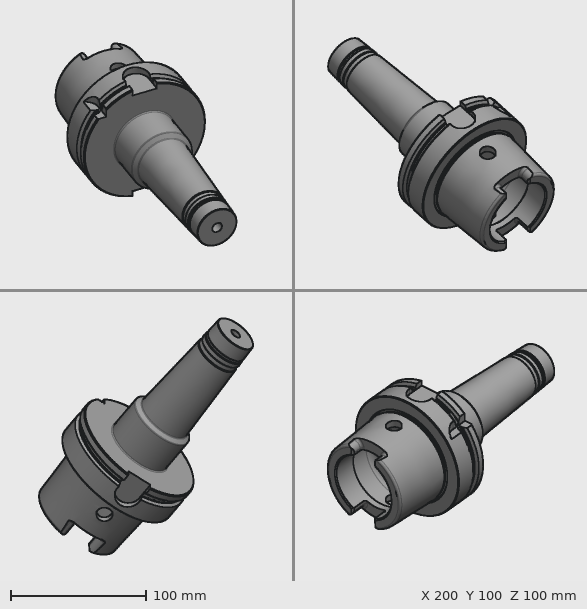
import cadquery as cq
import math

total_length = 200.0
shank_length = 50.0
flange_length = 29.0
shank_end = -shank_length
nose_end = total_length - shank_length

taper_diameter = 75.8
taper_ratio = 9.98
shank_round = 2.0
undercut_length = 2.0
undercut_depth = 0.8
undercut_into_face = 0.5
undercut_face_radius = 39.2

flange_diameter = 100.0
front_chamfer = 0.5
rear_chamfer = 0.8
groove_center = 20.0
groove_mouth_width = 6.5
groove_floor_width = 3.5
groove_floor_fillet = 0.5
groove_floor_diameter = 92.0
groove_flank_angle = 30.0

collar_diameter = 50.0
collar_end = 57.5
collar_chamfer_end = 60.2
collar_fillet = 0.8
nose_tip_diameter = 32.5
nose_half_angle = 3.0
tip_chamfer = 0.5
ring_groove_depth = 0.5
ring_grooves = ((126.8, 131.5), (135.2, 138.2))

bore_diameter = 53.0
bore_mouth_chamfer = 1.0
bore_lip_depth = 20.0
clamp_groove_diameter = 63.0
bore_floor_diameter = 50.0
bore_depth = 46.5
clamp_angle = 60.0
coolant_counterbore_diameter = 22.5
coolant_counterbore_depth = 10.0
coolant_hole_diameter = 8.0
radial_hole_diameter = 12.0
radial_hole_position = -15.0

slot_width = 20.0
slot_depths = ((1, 10.0), (-1, 14.5))
slot_flare_radius = 5.2
slot_flare_height = 26.8
slot_floor_fillet = 2.0
slot_mouth_chamfer = 1.5

keyway_width = 20.0
keyway_start = 4.8
keyway_floor = 44.0
notch_wall = 31.5

flange_radius = flange_diameter / 2


def nose_radius(x):
    return nose_tip_diameter / 2 + (nose_end - x) * math.tan(math.radians(nose_half_angle))


def taper_radius(x):
    return (taper_diameter + x / taper_ratio) / 2


def fillet_circle(body, x, radius, fillet_radius):
    """Round the one circular edge of a turned body that lies at x with this radius."""
    edges = body.edges("%CIRCLE").filter(
        lambda edge: math.isclose(edge.Center().x, x, abs_tol=2e-06)
        and math.isclose(edge.radius(), radius, abs_tol=2e-06)
    )
    return edges.fillet(fillet_radius)


def outer_body():
    floor_radius = groove_floor_diameter / 2
    flank_run = (groove_mouth_width - groove_floor_width) / 2
    flank_radius = flange_radius - flank_run / math.tan(math.radians(groove_flank_angle))
    undercut_radius = taper_radius(-undercut_length) - undercut_depth
    mouth = groove_mouth_width / 2
    floor = groove_floor_width / 2
    points = [
        (shank_end, 0),
        (shank_end, taper_radius(shank_end)),
        (-undercut_length, taper_radius(-undercut_length)),
        (-undercut_length / 2, undercut_radius),
        (undercut_into_face, undercut_radius),
        (undercut_into_face, undercut_face_radius - undercut_into_face),
        (0, undercut_face_radius),
        (0, flange_radius - front_chamfer),
        (front_chamfer, flange_radius),
        (groove_center - mouth, flange_radius),
        (groove_center - floor, flank_radius),
        (groove_center - floor, floor_radius),
        (groove_center + floor, floor_radius),
        (groove_center + floor, flank_radius),
        (groove_center + mouth, flange_radius),
        (flange_length - rear_chamfer, flange_radius),
        (flange_length, flange_radius - rear_chamfer),
        (flange_length, collar_diameter / 2),
        (collar_end, collar_diameter / 2),
        (collar_chamfer_end, nose_radius(collar_chamfer_end)),
    ]
    for start, end in ring_grooves:
        points += [
            (start, nose_radius(start)),
            (start + ring_groove_depth, nose_radius(start) - ring_groove_depth),
            (end - ring_groove_depth, nose_radius(end) - ring_groove_depth),
            (end, nose_radius(end)),
        ]
    points += [
        (nose_end - tip_chamfer, nose_radius(nose_end)),
        (nose_end, nose_radius(nose_end) - tip_chamfer),
        (nose_end, 0),
    ]
    body = cq.Workplane("XY").polyline(points).close().revolve(360, (0, 0, 0), (1, 0, 0))
    body = body.faces("<X").edges().fillet(shank_round)
    for x in (groove_center - floor, groove_center + floor):
        body = fillet_circle(body, x, floor_radius, groove_floor_fillet)
    body = fillet_circle(body, flange_length, collar_diameter / 2, collar_fillet)
    body = fillet_circle(body, collar_end, collar_diameter / 2, collar_fillet)
    return fillet_circle(body, collar_chamfer_end, nose_radius(collar_chamfer_end), collar_fillet)


def clamping_bore():
    bore_radius = bore_diameter / 2
    groove_radius = clamp_groove_diameter / 2
    floor_radius = bore_floor_diameter / 2
    lip = shank_end + bore_lip_depth
    bottom = shank_end + bore_depth
    slope = math.tan(math.radians(clamp_angle))
    floor_fillet = groove_radius - floor_radius
    arc_offset = floor_fillet * math.sqrt(0.5)
    arc_middle = (bottom - floor_fillet + arc_offset, floor_radius + arc_offset)
    counterbore_end = bottom + coolant_counterbore_depth
    return (
        cq.Workplane("XY")
        .moveTo(shank_end, 0)
        .lineTo(shank_end, bore_radius + bore_mouth_chamfer)
        .lineTo(shank_end + bore_mouth_chamfer, bore_radius)
        .lineTo(lip, bore_radius)
        .lineTo(lip + (groove_radius - bore_radius) / slope, groove_radius)
        .lineTo(bottom - floor_fillet, groove_radius)
        .threePointArc(arc_middle, (bottom, floor_radius))
        .lineTo(bottom, coolant_counterbore_diameter / 2)
        .lineTo(counterbore_end, coolant_counterbore_diameter / 2)
        .lineTo(counterbore_end, coolant_hole_diameter / 2)
        .lineTo(nose_end, coolant_hole_diameter / 2)
        .lineTo(nose_end, 0)
        .close()
        .revolve(360, (0, 0, 0), (1, 0, 0))
    )


def drive_slot(depth):
    """Slot on the +Z side: straight walls that flare outward along a rounded edge."""
    half = slot_width / 2
    flare_y = half + slot_flare_radius
    flare_top = slot_flare_height + slot_flare_radius
    inner_z = bore_diameter / 4
    reach = taper_diameter
    arc_reach = slot_flare_radius * math.sqrt(0.5)
    arc_y = flare_y - arc_reach
    arc_z = slot_flare_height + arc_reach
    slot = (
        cq.Workplane("YZ", origin=(shank_end, 0, 0))
        .moveTo(-half, inner_z)
        .lineTo(half, inner_z)
        .lineTo(half, slot_flare_height)
        .threePointArc((arc_y, arc_z), (flare_y, flare_top))
        .lineTo(reach, flare_top)
        .lineTo(reach, reach)
        .lineTo(-reach, reach)
        .lineTo(-reach, flare_top)
        .lineTo(-flare_y, flare_top)
        .threePointArc((-arc_y, arc_z), (-half, slot_flare_height))
        .close()
        .extrude(depth)
    )
    slot = slot.faces(">X").edges().fillet(slot_floor_fillet)
    mouth_half = half + slot_mouth_chamfer
    mouth = (
        cq.Workplane("XY", origin=(0, 0, inner_z))
        .polyline([
            (shank_end, -mouth_half),
            (shank_end, mouth_half),
            (shank_end + slot_mouth_chamfer, half),
            (shank_end + slot_mouth_chamfer, -half),
        ])
        .close()
        .extrude(reach - inner_z)
    )
    return slot.union(mouth)


def round_ended_slot(center_y, floor_z):
    """Slot cut down to floor_z, open at the rear of the flange."""
    radius = keyway_width / 2
    arc_x = keyway_start + radius
    return (
        cq.Workplane("XY", origin=(0, 0, floor_z))
        .moveTo(flange_length, center_y - radius)
        .lineTo(arc_x, center_y - radius)
        .threePointArc((keyway_start, center_y), (arc_x, center_y + radius))
        .lineTo(flange_length, center_y + radius)
        .close()
        .extrude(flange_diameter)
    )


def turned_to_side(shape, side):
    return shape if side > 0 else shape.rotate((0, 0, 0), (1, 0, 0), 180)


notch_center = -notch_wall - keyway_width / 2

radial_hole = (
    cq.Workplane("XY", origin=(radial_hole_position, 0, -flange_radius))
    .circle(radial_hole_diameter / 2)
    .extrude(flange_diameter)
)

result = outer_body().cut(clamping_bore())
for side, depth in slot_depths:
    result = result.cut(turned_to_side(drive_slot(depth), side))
    result = result.cut(turned_to_side(round_ended_slot(0, keyway_floor), side))
result = result.cut(round_ended_slot(notch_center, notch_wall))
result = result.cut(radial_hole)